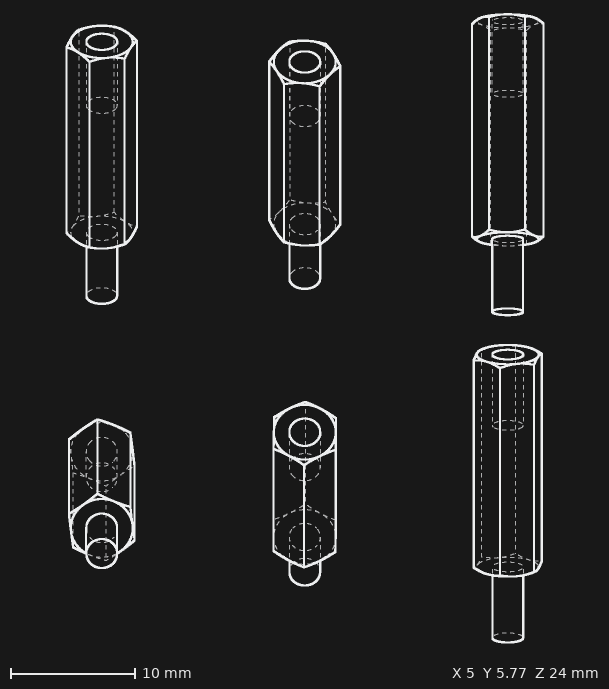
import cadquery as cq
import math

total_length = 24.0
stud_length = 6.0
across_flats = 5.0
thread_diameter = 2.5
hole_depth = 6.0
corner_chamfer_angle = 30.0

hex_length = total_length - stud_length
across_corners = across_flats / math.cos(math.radians(30))
flat_radius = across_flats / 2
corner_radius = across_corners / 2
chamfer_drop = (corner_radius - flat_radius) * math.tan(math.radians(corner_chamfer_angle))


def make_chamfer_envelope():
    """Round bar with coned ends that trims only the corners of the hexagon."""
    bottom = stud_length
    top = total_length
    return (
        cq.Workplane("XZ")
        .moveTo(0, bottom)
        .lineTo(flat_radius, bottom)
        .lineTo(corner_radius, bottom + chamfer_drop)
        .lineTo(corner_radius, top - chamfer_drop)
        .lineTo(flat_radius, top)
        .lineTo(0, top)
        .close()
        .revolve(360, (0, 0), (0, 1))
    )


def make_spacer():
    """Hexagonal spacer, corners along Y, with a blind hole in its top face."""
    hexagon = (
        cq.Workplane("XY", origin=(0, 0, stud_length))
        .transformed(rotate=(0, 0, 90))
        .polygon(6, across_corners)
        .extrude(hex_length)
    )
    hole = (
        cq.Workplane("XY", origin=(0, 0, total_length - hole_depth))
        .circle(thread_diameter / 2)
        .extrude(hole_depth)
    )
    return hexagon.intersect(make_chamfer_envelope()).cut(hole).solids()


def make_stud():
    """Plain round stud that meets the bottom face of the spacer."""
    return cq.Workplane("XY").circle(thread_diameter / 2).extrude(stud_length)


spacer = make_spacer()
stud = make_stud()

result = cq.Compound.makeCompound([spacer.val(), stud.val()])